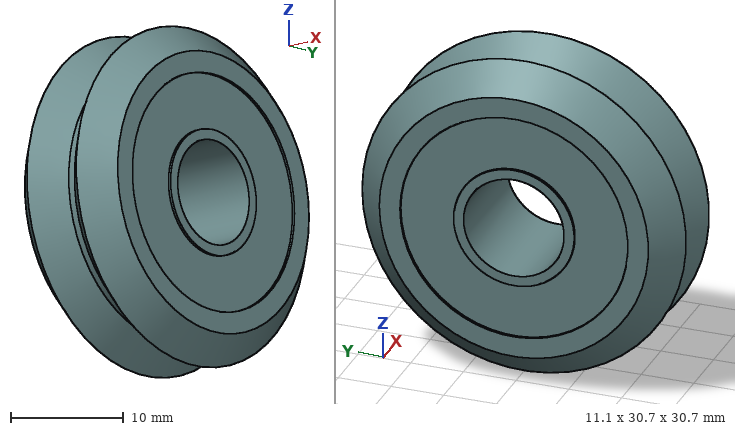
import cadquery as cq

width = 11.1
crest_diameter = 30.73
side_face_diameter = 25.5
groove_floor_diameter = 25.4
groove_floor_width = 0.68
bore_diameter = 9.53

hub_diameter = 11.43
recess_diameter = 21.6
recess_depth = 0.25

half_width = width / 2
half_floor = groove_floor_width / 2
crest_x = (half_width + half_floor) / 2


def wheel_body():
    """Revolve the double-ridged rim profile about the X axis."""
    crest_radius = crest_diameter / 2
    face_radius = side_face_diameter / 2
    floor_radius = groove_floor_diameter / 2
    profile = [
        (-half_width, 0),
        (-half_width, face_radius),
        (-crest_x, crest_radius),
        (-half_floor, floor_radius),
        (half_floor, floor_radius),
        (crest_x, crest_radius),
        (half_width, face_radius),
        (half_width, 0),
    ]
    return cq.Workplane("XY").polyline(profile).close().revolve(360, (0, 0, 0), (1, 0, 0))


def side_recess(start_x):
    """Ring between the hub and the rim, one recess depth thick along +X."""
    return (
        cq.Workplane("YZ", origin=(start_x, 0, 0))
        .circle(recess_diameter / 2)
        .circle(hub_diameter / 2)
        .extrude(recess_depth)
    )


bore = cq.Workplane("YZ", origin=(-half_width, 0, 0)).circle(bore_diameter / 2).extrude(width)

result = wheel_body().cut(bore)
for recess_start in (-half_width, half_width - recess_depth):
    result = result.cut(side_recess(recess_start))